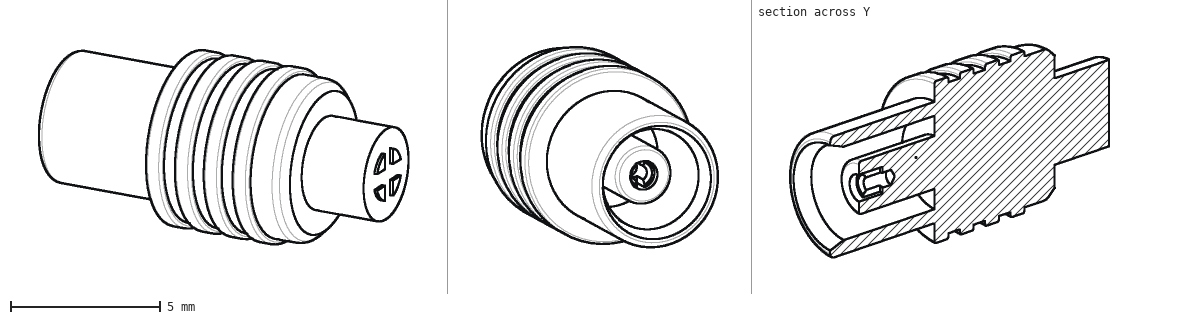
import cadquery as cq
import math

barrel_end = 4.5
body_end = 9.7
stub_end = 12.05
total_length = 12.16

barrel_radius = 2.25
body_radius = 2.8
rib_diameter = 6.0
rib_radius = rib_diameter / 2
stub_radius = 1.6

barrel_mouth_fillet = 0.2
body_chamfer = 0.35
body_fillet = 0.33
rib_count = 4
rib_pitch = 1.1
rib_width = 0.62
rib_fillet = 0.1

lead_in_radius = 1.93
bore_radius = 1.71
lead_in_depth = 0.58
bore_depth = barrel_end

post_radius = 0.98
post_fillet = 0.11
post_front = 1.24
contact_radius = 0.49
contact_recess = 0.29
contact_mouth_radius = 0.4
contact_hole_radius = 0.27
contact_hole_depth = 1.1
contact_slot_width = 0.27
contact_slot_depth = 0.73
drill_tip_angle = 118.0

rear_contact_radius = 0.89
rear_slot_width = 0.58


def cylinder(start, end, radius):
    """Cylinder on the X axis between two axial positions."""
    return cq.Workplane("YZ").workplane(offset=start).circle(radius).extrude(end - start)


def bar(start, end, width, height):
    """Rectangular bar centred on the X axis, with its width along Y and its height along Z."""
    return cq.Workplane("YZ").workplane(offset=start).rect(width, height).extrude(end - start)


def cone(start, end, start_radius, end_radius):
    """Cone or frustum on the X axis between two axial positions."""
    axis = cq.Vector(1, 0, 0)
    solid = cq.Solid.makeCone(start_radius, end_radius, end - start, cq.Vector(start, 0, 0), axis)
    return cq.Workplane("XY").newObject([solid])


def make_housing():
    barrel = cylinder(0, barrel_end, barrel_radius).faces("<X").edges().fillet(barrel_mouth_fillet)
    body = cylinder(barrel_end, body_end, body_radius).faces(">X").edges().chamfer(body_chamfer)
    body = body.edges(cq.selectors.RadiusNthSelector(-1)).edges(">X").fillet(body_fillet)
    stub = cylinder(body_end, stub_end, stub_radius)
    housing = barrel.union(body).union(stub)
    for index in range(rib_count):
        rib_start = barrel_end + index * rib_pitch
        rib = cylinder(rib_start, rib_start + rib_width, rib_radius).edges().fillet(rib_fillet)
        housing = housing.union(rib)
    return housing


def make_socket_bore():
    lead_in = cone(0, lead_in_depth, lead_in_radius, bore_radius)
    return lead_in.union(cylinder(lead_in_depth, bore_depth, bore_radius))


def make_post():
    post = cylinder(post_front, bore_depth, post_radius).faces("<X").edges().fillet(post_fillet)
    contact_front = post_front + contact_recess
    post = post.cut(cylinder(post_front, contact_front, contact_radius))

    mouth_depth = contact_mouth_radius - contact_hole_radius
    mouth_end = contact_front + mouth_depth
    hole_end = contact_front + contact_hole_depth
    tip_length = contact_hole_radius / math.tan(math.radians(drill_tip_angle / 2))
    post = post.cut(cone(contact_front, mouth_end, contact_mouth_radius, contact_hole_radius))
    post = post.cut(cylinder(mouth_end, hole_end, contact_hole_radius))
    post = post.cut(cone(hole_end, hole_end + tip_length, contact_hole_radius, 0))

    slot_end = contact_front + contact_slot_depth
    slot = bar(contact_front, slot_end, contact_slot_width, 2 * contact_radius)
    return post.cut(slot.intersect(cylinder(contact_front, slot_end, contact_radius)))


def make_rear_contact():
    contact = cylinder(stub_end, total_length, rear_contact_radius)
    slot_length = 2 * rear_contact_radius
    for width, height in ((rear_slot_width, slot_length), (slot_length, rear_slot_width)):
        contact = contact.cut(bar(stub_end, total_length, width, height))
    return contact


result = make_housing().cut(make_socket_bore()).union(make_post()).union(make_rear_contact())